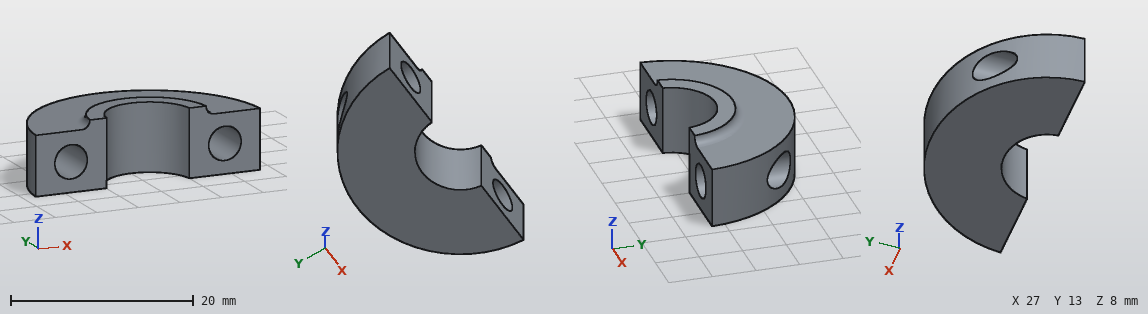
import cadquery as cq

outer_radius = 13.5
bore_radius = 5.0
split_offset = 0.5

body_height = 7.0
collar_height = 1.0
collar_radius = 7.0
collar_fillet = collar_height
total_height = body_height + collar_height

bolt_diameter = 3.9
bolt_spacing = 18.5
bolt_z = body_height / 2


def full_ring():
    """Revolve the ring section: a flat body with a filleted collar around the bore."""
    fillet_drop = collar_fillet * 0.5**0.5
    fillet_center_x = collar_radius + collar_fillet
    section = (
        cq.Workplane("XZ")
        .moveTo(bore_radius, 0)
        .lineTo(outer_radius, 0)
        .lineTo(outer_radius, body_height)
        .lineTo(fillet_center_x, body_height)
        .threePointArc(
            (fillet_center_x - fillet_drop, total_height - fillet_drop),
            (collar_radius, total_height),
        )
        .lineTo(bore_radius, total_height)
        .close()
    )
    return section.revolve(360, (0, 0, 0), (0, 1, 0))


def kept_side():
    """Block covering everything beyond the split face on the +Y side."""
    return (
        cq.Workplane("XY")
        .box(2 * outer_radius, outer_radius, total_height, centered=(True, False, False))
        .translate((0, split_offset, 0))
    )


def bolt_holes():
    """Two holes along Y, square to the split face and through the outer rim."""
    return (
        cq.Workplane("XZ")
        .pushPoints([(side * bolt_spacing / 2, bolt_z) for side in (-1, 1)])
        .circle(bolt_diameter / 2)
        .extrude(-outer_radius)
    )


result = full_ring().intersect(kept_side()).cut(bolt_holes())